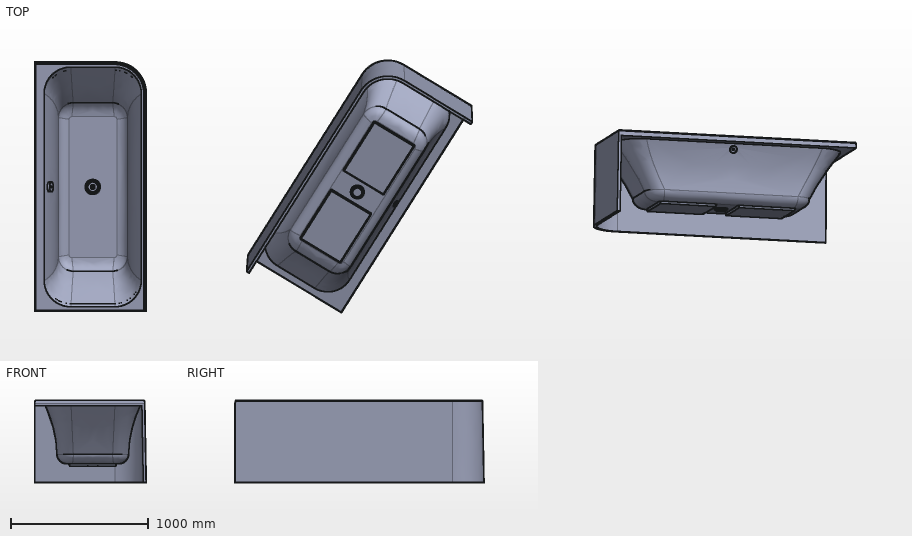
import cadquery as cq
import math

WIDTH = 811.0
LENGTH = 1810.0
HEIGHT = 600.0

RIM_DEPTH = 42.0
APRON_WALL = 22.0
APRON_LEAN = 10.0
APRON_CORNER_RADIUS = 230.0
EDGE_CHAMFER = 7.0
FRONT_BEVEL_HEIGHT = 22.0
FRONT_BEVEL_DEPTH = 5.0

BOWL_X = 16.0
BOWL_Y = -4.0
SHELL = 10.0
BOWL_BOTTOM = 135.0
WALL_START = 208.0
FLOOR_HALF_WIDTH = 185.0
FLOOR_HALF_LENGTH = 523.0
FLOOR_CORNER = 30.0
LOW_HALF_WIDTH = 260.0
LOW_HALF_LENGTH = 623.0
LOW_STRAIGHT = 143.0
RIM_HALF_WIDTH = 364.0
RIM_HALF_LENGTH = 882.0
RIM_STRAIGHT = 161.0
WIDTH_FLARE = 1.9
LENGTH_FLARE = 1.15
SECTION_STEPS = 4

PAD_BOTTOM = 120.0
PAD_HALF_WIDTH = 167.0
PAD_HALF_LENGTH = 507.0
PAD_GAP = 177.0
PAD_DRAFT = 7.0

SUMP_SEAT = 129.0
SUMP_SEAT_DIAMETER = 80.0
SUMP_MOUTH_DIAMETER = 109.0
SUMP_BOSS_BOTTOM_DIAMETER = 67.0
SUMP_BOSS_TOP_DIAMETER = 100.0
CAP_DIAMETER = 72.0
DRAIN_CAP_THICKNESS = 9.0
KNOB_BASE_DIAMETER = 33.0
KNOB_TOP_DIAMETER = 24.0
KNOB_HEIGHT = 5.0
KNOB_HOLE_DIAMETER = 15.0

OVERFLOW_Z = 520.0
OVERFLOW_CAP_THICKNESS = 18.0
OVERFLOW_HOLE_DIAMETER = 53.0
BACK_HOLE_DIAMETER = 15.0
BACK_HOLE_DEPTH = 10.0
FACE_HOLE_DIAMETER = 9.2
FACE_HOLE_DEPTH = 4.0

LEFT = -WIDTH / 2
FRONT = -LENGTH / 2
RIM_UNDERSIDE = HEIGHT - RIM_DEPTH
PAD_HEIGHT = BOWL_BOTTOM - PAD_BOTTOM
CAVITY_OVERRUN = 18.0


def between(low, high, share):
    """Value at the given share of the way from low to high."""
    return low + (high - low) * share


def corner_outline(z, inset, overrun):
    """Rectangle with a round +X +Y corner; those two sides move in, the others out."""
    right = WIDTH / 2 - inset
    back = LENGTH / 2 - inset
    radius = APRON_CORNER_RADIUS - inset
    arc_x = right - radius
    arc_y = back - radius
    diagonal = radius * math.sqrt(0.5)
    return (
        cq.Workplane("XY", origin=(0, 0, z))
        .moveTo(LEFT - overrun, FRONT - overrun)
        .lineTo(right, FRONT - overrun)
        .lineTo(right, arc_y)
        .threePointArc((arc_x + diagonal, arc_y + diagonal), (arc_x, back))
        .lineTo(LEFT - overrun, back)
        .close()
        .val()
    )


def leaning_block(top, inset, overrun=0.0):
    """Block from the floor to top whose +X and +Y faces lean inward."""
    lean = APRON_LEAN * top / HEIGHT
    base_outline = corner_outline(0, inset, overrun)
    top_outline = corner_outline(top, inset + lean, overrun)
    return cq.Workplane(cq.Solid.makeLoft([base_outline, top_outline], True))


def bowl_section(half_width, half_length, corner, z):
    """Rounded rectangle about the bowl's centre line at height z."""
    outline = cq.Sketch().rect(2 * half_width, 2 * half_length).vertices().fillet(corner)
    return outline.moved(cq.Location(cq.Vector(BOWL_X, BOWL_Y, z)))


def wall_half_width(z):
    """Half width of the outer wall surface at height z."""
    rise = (z - WALL_START) / (HEIGHT - WALL_START)
    return between(LOW_HALF_WIDTH, RIM_HALF_WIDTH, rise**WIDTH_FLARE)


def wall_section(rise, inset):
    """Section of the flared wall; rise runs from 0 at its start to 1 at the rim."""
    z = between(WALL_START, HEIGHT, rise)
    half_width = wall_half_width(z) - inset
    half_length = between(LOW_HALF_LENGTH, RIM_HALF_LENGTH, rise**LENGTH_FLARE) - inset
    straight = between(LOW_STRAIGHT, RIM_STRAIGHT, rise)
    return bowl_section(half_width, half_length, half_width - straight, z)


def floor_edge_section(turn, inset):
    """Section of the rounded floor edge; turn runs from 0 at the floor to 1 at the wall."""
    angle = turn * math.pi / 2
    spread = math.sin(angle)
    half_width = between(FLOOR_HALF_WIDTH, LOW_HALF_WIDTH, spread) - inset
    half_length = between(FLOOR_HALF_LENGTH, LOW_HALF_LENGTH, spread) - inset
    corner = between(FLOOR_CORNER, LOW_HALF_WIDTH - LOW_STRAIGHT, spread) - inset
    z = between(WALL_START, BOWL_BOTTOM + inset, math.cos(angle))
    return bowl_section(half_width, half_length, corner, z)


def bowl_solid(inset):
    """Filled bowl with its outer surface moved inward by inset."""
    shares = [step / SECTION_STEPS for step in range(SECTION_STEPS + 1)]
    wall_sections = [wall_section(share, inset) for share in shares]
    edge_sections = [floor_edge_section(share, inset) for share in shares]
    wall = cq.Workplane().placeSketch(*wall_sections).loft()
    floor_edge = cq.Workplane().placeSketch(*edge_sections).loft()
    return wall.union(floor_edge)


def drain_cone(z, bottom_diameter, top_diameter, height):
    """Upright cone on the drain axis."""
    base = cq.Vector(BOWL_X, BOWL_Y, z)
    return cq.Workplane(
        cq.Solid.makeCone(bottom_diameter / 2, top_diameter / 2, height, base)
    )


def overflow_plane():
    """Plane on the inner -X wall at the overflow, its normal pointing into the bowl."""
    rise = (OVERFLOW_Z - WALL_START) / (HEIGHT - WALL_START)
    flare = RIM_HALF_WIDTH - LOW_HALF_WIDTH
    slope = flare * WIDTH_FLARE * rise ** (WIDTH_FLARE - 1) / (HEIGHT - WALL_START)
    wall_x = BOWL_X - wall_half_width(OVERFLOW_Z) + SHELL
    return cq.Plane(origin=(wall_x, BOWL_Y, OVERFLOW_Z), xDir=(0, 1, 0), normal=(1, 0, slope))


def make_frame():
    """Flat rim with the apron hanging from its +X and +Y sides."""
    block = leaning_block(HEIGHT, 0)
    block = block.faces(">Z").edges("not <Y").chamfer(EDGE_CHAMFER)
    block = block.faces(">Z").edges("<Y").chamfer(FRONT_BEVEL_HEIGHT, FRONT_BEVEL_DEPTH)
    cavity = leaning_block(RIM_UNDERSIDE, APRON_WALL, CAVITY_OVERRUN)
    return block.cut(cavity)


def make_tub(bowl_interior):
    """Rim, apron and bowl in one piece, with the drain sump and the overflow hole."""
    sump_boss = drain_cone(
        PAD_BOTTOM, SUMP_BOSS_BOTTOM_DIAMETER, SUMP_BOSS_TOP_DIAMETER, PAD_HEIGHT
    )
    sump = drain_cone(
        SUMP_SEAT, SUMP_SEAT_DIAMETER, SUMP_MOUTH_DIAMETER, BOWL_BOTTOM + SHELL - SUMP_SEAT
    )
    overflow_hole = (
        cq.Workplane(overflow_plane())
        .circle(OVERFLOW_HOLE_DIAMETER / 2)
        .extrude(2 * SHELL, both=True)
    )
    body = make_frame().union(bowl_solid(0)).union(sump_boss)
    return body.cut(bowl_interior).cut(sump).cut(overflow_hole)


def make_pad(side):
    """Drafted pad under one end of the floor: side is 1 for the +Y end, -1 for the -Y end."""
    length = PAD_HALF_LENGTH - PAD_GAP / 2
    centre_y = BOWL_Y + side * (PAD_HALF_LENGTH + PAD_GAP / 2) / 2
    draft_angle = math.degrees(math.atan2(PAD_DRAFT, PAD_HEIGHT))
    return (
        cq.Workplane("XY", origin=(BOWL_X, centre_y, PAD_BOTTOM))
        .rect(2 * PAD_HALF_WIDTH, length)
        .extrude(PAD_HEIGHT, taper=-draft_angle)
    )


def make_drain():
    """Drain cap resting on the sump seat, with a pierced conical knob."""
    cap = (
        cq.Workplane("XY", origin=(BOWL_X, BOWL_Y, SUMP_SEAT))
        .circle(CAP_DIAMETER / 2)
        .extrude(DRAIN_CAP_THICKNESS)
    )
    knob = drain_cone(
        SUMP_SEAT + DRAIN_CAP_THICKNESS, KNOB_BASE_DIAMETER, KNOB_TOP_DIAMETER, KNOB_HEIGHT
    )
    drain = cap.union(knob)
    return drain.faces(">Z").workplane().hole(KNOB_HOLE_DIAMETER, KNOB_HEIGHT)


def make_overflow(bowl_interior):
    """Overflow cap lying on the inner wall, with a small hole in its face and its back."""
    plane = overflow_plane()
    face_plane = cq.Workplane(plane).workplane(offset=OVERFLOW_CAP_THICKNESS)
    cap = cq.Workplane(plane).circle(CAP_DIAMETER / 2).extrude(OVERFLOW_CAP_THICKNESS)
    back_hole = cq.Workplane(plane).circle(BACK_HOLE_DIAMETER / 2).extrude(BACK_HOLE_DEPTH)
    face_hole = face_plane.circle(FACE_HOLE_DIAMETER / 2).extrude(-FACE_HOLE_DEPTH)
    return cap.intersect(bowl_interior).cut(back_hole).cut(face_hole)


bowl_interior = bowl_solid(SHELL)
tub = make_tub(bowl_interior)
pads = [make_pad(side) for side in (1, -1)]
drain = make_drain()
overflow = make_overflow(bowl_interior)

result = cq.Compound.makeCompound([
    *tub.solids().vals(),
    *[pad.val() for pad in pads],
    *drain.solids().vals(),
    *overflow.solids().vals(),
])